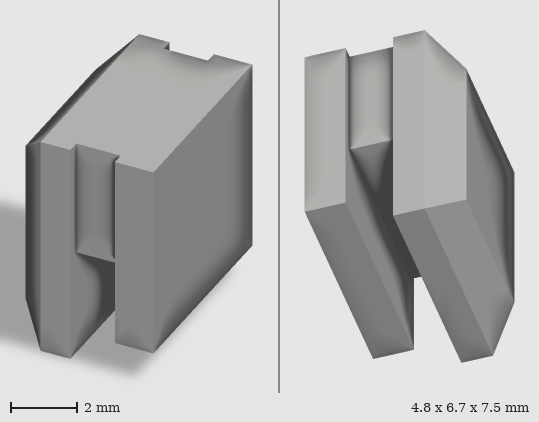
import cadquery as cq

depth_x = 4.8
width_y = 6.7
height_z = 7.5

bevel = 1.0
front_plate_thickness = 2.0
slot_width = 1.5
slot_end_x = front_plate_thickness + slot_width
back_plate_thickness = depth_x - slot_end_x
back_plate_bottom_z = 1.0
web_bottom_z = 3.6
side_groove_depth = 0.4


def block(start_x, length_x, length_y, bottom_z):
    """Box centred on Y, reaching from bottom_z to the top of the part."""
    return (
        cq.Workplane("XY")
        .box(length_x, length_y, height_z - bottom_z, centered=(False, True, False))
        .translate((start_x, 0, bottom_z))
    )


front_plate = block(0, front_plate_thickness, width_y, 0).faces("<X").chamfer(bevel)

web_width = width_y - 2 * side_groove_depth
web = block(front_plate_thickness, slot_width, web_width, web_bottom_z)

back_plate = block(slot_end_x, back_plate_thickness, width_y, back_plate_bottom_z)

result = front_plate.union(web).union(back_plate)